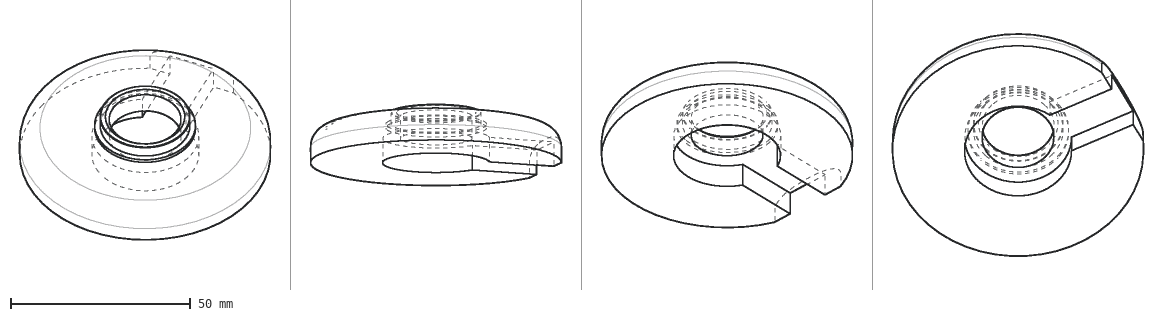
import cadquery as cq

disc_radius = 34.9
disc_height = 10.0
rim_fillet = 5.6
flat_y = 32.5

step_radius = 14.0
step_height = 1.0
neck_radius = 12.5
neck_chamfer = 0.15
overall_height = 14.2

bore_radius = 10.0
mouth_chamfer = 1.05

recess_radius = 14.85
recess_depth = 7.0
channel_width = 13.25


def cylinder(radius, bottom, top):
    """Cylinder on the Z axis between two heights."""
    return cq.Workplane("XY").workplane(offset=bottom).circle(radius).extrude(top - bottom)


def make_disc():
    """Disc with a rounded upper rim, trimmed by the flat."""
    rounded = cylinder(disc_radius, 0, disc_height).faces(">Z").edges().fillet(rim_fillet)
    keep = (
        cq.Workplane("XY")
        .box(2 * disc_radius, disc_radius + flat_y, disc_height, centered=(True, False, False))
        .translate((0, -disc_radius, 0))
    )
    return rounded.intersect(keep)


def make_collar():
    """Low step carrying the taller neck, whose top edge is lightly chamfered."""
    step = cylinder(step_radius, recess_depth, disc_height + step_height)
    neck = cylinder(neck_radius, recess_depth, overall_height)
    neck = neck.faces(">Z").edges().chamfer(neck_chamfer)
    return step.union(neck)


def make_bore():
    """Through bore that widens at the top of the neck."""
    mouth = (
        cq.Workplane("XY")
        .workplane(offset=overall_height)
        .circle(bore_radius + mouth_chamfer)
        .workplane(offset=-mouth_chamfer)
        .circle(bore_radius)
        .loft(ruled=True)
    )
    return cylinder(bore_radius, 0, overall_height).union(mouth)


def make_recess():
    """Round recess in the underside and its straight channel to the flat."""
    channel = cq.Workplane("XY").box(
        channel_width, flat_y, recess_depth, centered=(True, False, False)
    )
    return cylinder(recess_radius, 0, recess_depth).union(channel)


result = make_disc().union(make_collar()).cut(make_bore()).cut(make_recess())